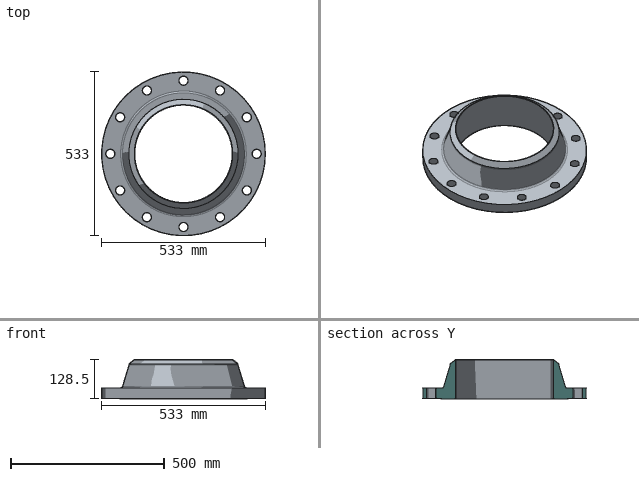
import cadquery as cq
import math

flange_diameter = 533.0
flange_thickness = 35.0
raised_face_diameter = 413.0
raised_face_height = 1.5
total_height = 128.5

bolt_hole_count = 12
bolt_circle_diameter = 476.0
bolt_hole_diameter = 29.0

hub_base_diameter = 400.0
hub_fillet_radius = 6.5
pipe_diameter = 355.5
bore_diameter = 317.5
land_height = 5.0
bevel_angle = 37.5
root_face_width = 1.5

flange_radius = flange_diameter / 2
raised_face_radius = raised_face_diameter / 2
hub_base_radius = hub_base_diameter / 2
pipe_radius = pipe_diameter / 2
bore_radius = bore_diameter / 2
root_face_radius = bore_radius + root_face_width

flange_top = raised_face_height + flange_thickness
bevel_height = (pipe_radius - root_face_radius) * math.tan(math.radians(bevel_angle))
land_top = total_height - bevel_height
taper_top = land_top - land_height

taper_angle = math.atan2(hub_base_radius - pipe_radius, taper_top - flange_top)
fillet_reach = hub_fillet_radius * math.tan(math.pi / 4 - taper_angle / 2)
fillet_center_radius = hub_base_radius + fillet_reach
fillet_center_height = flange_top + hub_fillet_radius


def fillet_point(angle_below_horizontal):
    """Point (radius, height) on the fillet arc, measured on its hub side."""
    return (
        fillet_center_radius - hub_fillet_radius * math.cos(angle_below_horizontal),
        fillet_center_height - hub_fillet_radius * math.sin(angle_below_horizontal),
    )


def make_flange_body():
    """Revolve the half section around the Z axis."""
    fillet_middle_angle = (taper_angle + math.pi / 2) / 2
    section = (
        cq.Workplane("XZ")
        .moveTo(bore_radius, 0)
        .lineTo(raised_face_radius, 0)
        .lineTo(raised_face_radius, raised_face_height)
        .lineTo(flange_radius, raised_face_height)
        .lineTo(flange_radius, flange_top)
        .lineTo(fillet_center_radius, flange_top)
        .threePointArc(fillet_point(fillet_middle_angle), fillet_point(taper_angle))
        .lineTo(pipe_radius, taper_top)
        .lineTo(pipe_radius, land_top)
        .lineTo(root_face_radius, total_height)
        .lineTo(bore_radius, total_height)
        .close()
    )
    return section.revolve(360, (0, 0, 0), (0, 1, 0))


def make_bolt_holes():
    """Cylinders that cut the ring of bolt holes through the flange."""
    return (
        cq.Workplane("XY")
        .polarArray(bolt_circle_diameter / 2, 0, 360, bolt_hole_count)
        .circle(bolt_hole_diameter / 2)
        .extrude(flange_top)
    )


result = make_flange_body().cut(make_bolt_holes())